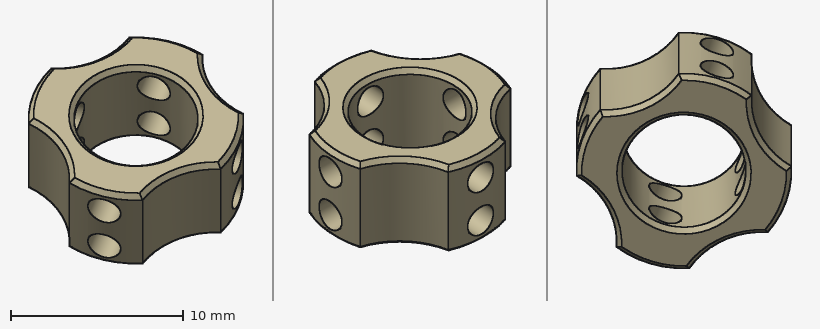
import cadquery as cq

outer_diameter = 12.5
height = 6.25
bore_diameter = 7.2
edge_chamfer = 0.3

lobe_count = 4
scallop_radius = 5.0
scallop_center_radius = 2 * scallop_radius

hole_diameter = 2.0
hole_rows = (height / 4, 3 * height / 4)

lobe_pitch_angle = 360.0 / lobe_count


def lobed_body():
    """Round blank with concave scallops, chamfered around both end faces."""
    blank = cq.Workplane("XY").circle(outer_diameter / 2).extrude(height)
    scallops = (
        cq.Workplane("XY")
        .polarArray(scallop_center_radius, lobe_pitch_angle / 2, 360, lobe_count)
        .circle(scallop_radius)
        .extrude(height)
    )
    return blank.cut(scallops).faces("<Z or >Z").edges().chamfer(edge_chamfer)


def cut_bore(body):
    """Central through bore with a chamfer at both mouths."""
    bore = cq.Workplane("XY").circle(bore_diameter / 2).extrude(height)
    bore_mouths = cq.selectors.RadiusNthSelector(0)
    return body.cut(bore).faces("<Z or >Z").edges(bore_mouths).chamfer(edge_chamfer)


def cut_cross_holes(body):
    """Round holes that run straight through opposite lobes along X and Y."""
    for plane in ("XZ", "YZ"):
        holes = (
            cq.Workplane(plane)
            .pushPoints([(0, row_height) for row_height in hole_rows])
            .circle(hole_diameter / 2)
            .extrude(outer_diameter / 2, both=True)
        )
        body = body.cut(holes)
    return body


result = cut_cross_holes(cut_bore(lobed_body()))